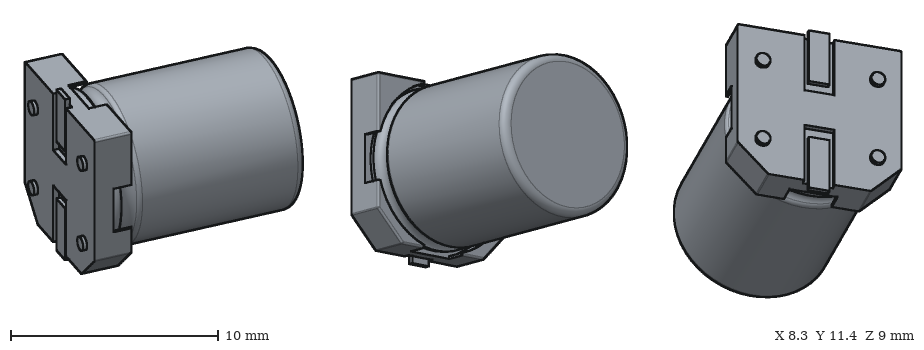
import cadquery as cq
import math

base_width = 8.3
base_thickness = 2.0
corner_cut = 1.55
edge_radius = 0.1

foot_diameter = 0.71
foot_height = 0.21
foot_pitch_x = 5.81
foot_pitch_z = 4.47

terminal_span = 9.0
terminal_width = 1.04
terminal_length = 2.9
terminal_recess = 0.06
slot_width = 1.52
slot_length = 3.15
slot_depth = 0.31

notch_width = 2.42
notch_depth = 1.0

seat_radius = 4.2

overall_length = 11.43
can_radius = 4.01
end_radius = 0.41
rim_radius = 0.41
rim_band = 0.07

groove_radius = 0.48
shoulder_radius = 0.3
groove_rise = 0.4
blend_angle = math.asin(groove_rise / groove_radius)

half_base = base_width / 2
can_bottom = base_thickness - notch_depth
can_top = overall_length - foot_height


def box(width, y_low, y_high, z_low, z_high):
    """Box centred on X = 0 between the given Y and Z limits."""
    block = cq.Workplane("XY").box(width, y_high - y_low, z_high - z_low, centered=(True, False, False))
    return block.translate((0, y_low, z_low))


def turned(shape, angle):
    """Shape turned about the can axis."""
    return shape.rotate((0, 0, 0), (0, 1, 0), angle)


def make_base():
    """Plate with two cut corners on its -Z side, rounded edges, can seat, side notches and slots."""
    outline = [
        (-half_base, half_base),
        (half_base, half_base),
        (half_base, corner_cut - half_base),
        (half_base - corner_cut, -half_base),
        (corner_cut - half_base, -half_base),
        (-half_base, corner_cut - half_base),
    ]
    plate = cq.Workplane("XZ").polyline(outline).close().extrude(-base_thickness)
    plate = plate.edges("|Y or >Y").fillet(edge_radius)

    notch = box(notch_width, can_bottom, base_thickness, 0, half_base)
    for angle in (0, 90, 180, 270):
        plate = plate.cut(turned(notch, angle))

    seat = cq.Workplane("XZ", origin=(0, can_bottom, 0)).circle(seat_radius).extrude(-base_thickness)
    plate = plate.cut(seat)

    slot = box(slot_width, 0, slot_depth, half_base - slot_length, half_base)
    for angle in (0, 180):
        plate = plate.cut(turned(slot, angle))
    return plate


def make_can():
    """Solid can with a rounded rim, a rolled groove and a rounded far end."""
    shoulder_inset = shoulder_radius * (1 - math.cos(blend_angle))
    shoulder_rise = shoulder_radius * math.sin(blend_angle)
    neck_radius = can_radius - (shoulder_radius + groove_radius) * (1 - math.cos(blend_angle))
    groove_centre = neck_radius + groove_radius

    groove_low = can_bottom + rim_radius + rim_band
    groove_mid = groove_low + math.sqrt(groove_radius**2 - (groove_centre - can_radius) ** 2)
    groove_high = groove_mid + groove_rise
    body_low = groove_high + shoulder_rise

    half_angle = blend_angle / 2
    shoulder_mid = (
        can_radius - shoulder_radius * (1 - math.cos(half_angle)),
        body_low - shoulder_radius * math.sin(half_angle),
    )
    diagonal = math.sqrt(0.5)
    rim_mid = (
        can_radius - rim_radius * (1 - diagonal),
        can_bottom + rim_radius * (1 - diagonal),
    )
    end_mid = (
        can_radius - end_radius * (1 - diagonal),
        can_top - end_radius * (1 - diagonal),
    )
    profile = (
        cq.Workplane("XY")
        .moveTo(0, can_bottom)
        .lineTo(can_radius - rim_radius, can_bottom)
        .threePointArc(rim_mid, (can_radius, can_bottom + rim_radius))
        .lineTo(can_radius, groove_low)
        .threePointArc((neck_radius, groove_mid), (can_radius - shoulder_inset, groove_high))
        .threePointArc(shoulder_mid, (can_radius, body_low))
        .lineTo(can_radius, can_top - end_radius)
        .threePointArc(end_mid, (can_radius - end_radius, can_top))
        .lineTo(0, can_top)
        .close()
    )
    return profile.revolve(360, (0, 0, 0), (0, 1, 0))


def make_terminals():
    """Two flat strips seated on the slot floors, mirrored across Z = 0."""
    z_end = terminal_span / 2
    strip = box(terminal_width, terminal_recess, slot_depth, z_end - terminal_length, z_end)
    return strip.union(turned(strip, 180))


def make_feet():
    """Four round feet standing out from the base toward -Y."""
    centres = cq.Workplane("XZ").rect(foot_pitch_x, foot_pitch_z, forConstruction=True).vertices()
    return centres.circle(foot_diameter / 2).extrude(foot_height)


result = make_base().union(make_can()).union(make_terminals()).union(make_feet())